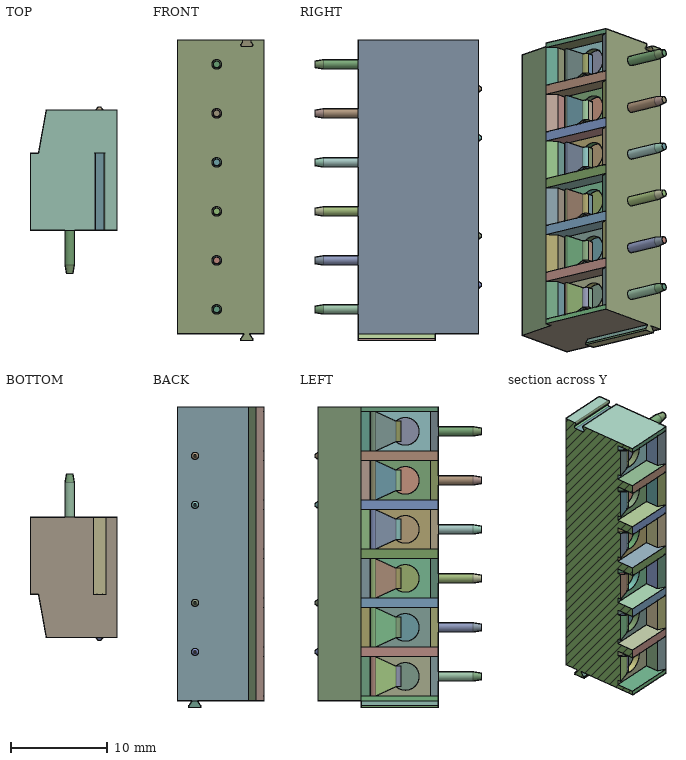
import cadquery as cq
import math

pole_count = 6
pitch = 5.08
width = 9.0
depth = 12.5
height = pole_count * pitch
front_depth = 8.0
shelf_width = 0.85
shoulder_back_x = 1.65

divider = 1.0
entry_height = pitch - divider
front_slope_length = 0.85
front_slope_drop = 0.47
back_slope_length = 0.95
back_slope_drop = 0.85
floor_x = 1.95

tongue_x = 1.62
bend_radius = 0.53
tongue_back_y = 7.0
tongue_end_y = 3.9
tongue_end_width = 2.12

hole_radius = 1.43
hole_y = 3.43
hole_bottom_x = 2.65

pin_x = 4.08
pin_radius = 0.5
pin_length = 4.5
pin_tip_length = 0.9
pin_tip_radius = 0.35

rail_x = 7.2
rail_height = 0.7
rail_land = 0.2
rail_width = 1.25
rail_neck = 0.6
groove_round = 0.14

stud_x = 7.17
stud_height = 0.3
stud_base_radius = 0.37
stud_top_radius = 0.12
stud_pitches = (1, 2, 4, 5)


def housing():
    outline = [
        (0, 0),
        (width, 0),
        (width, depth),
        (shoulder_back_x, depth),
        (shelf_width, front_depth),
        (0, front_depth),
    ]
    return cq.Workplane("XY").polyline(outline).close().extrude(height)


def wire_entry(middle_z):
    """Pocket with sloped front and back lips, plus the round hole in its floor."""
    back_wall_y = front_depth - back_slope_length
    outline = [
        (0, 0),
        (front_slope_drop, front_slope_length),
        (floor_x, front_slope_length),
        (floor_x, back_wall_y),
        (back_slope_drop, back_wall_y),
        (0, front_depth),
    ]
    pocket = (
        cq.Workplane("XY", origin=(0, 0, middle_z - entry_height / 2))
        .polyline(outline)
        .close()
        .extrude(entry_height)
    )
    hole = (
        cq.Workplane("YZ", origin=(0, hole_y, middle_z))
        .circle(hole_radius)
        .extrude(hole_bottom_x)
    )
    return pocket.union(hole)


def clamp_tongue(middle_z):
    """Plate with both ends rounded down to the floor, tapering towards the hole."""
    bend_drop = floor_x - tongue_x
    bend_run = math.sqrt(bend_radius**2 - (bend_radius - bend_drop) ** 2)
    taper_start_y = tongue_back_y - bend_run
    taper_end_y = tongue_end_y + bend_run
    profile = (
        cq.Workplane("XY", origin=(0, 0, middle_z - entry_height / 2))
        .moveTo(hole_bottom_x, tongue_back_y)
        .lineTo(floor_x, tongue_back_y)
        .radiusArc((tongue_x, taper_start_y), -bend_radius)
        .lineTo(tongue_x, taper_end_y)
        .radiusArc((floor_x, tongue_end_y), -bend_radius)
        .lineTo(hole_bottom_x, tongue_end_y)
        .close()
        .extrude(entry_height)
    )
    half_root = entry_height / 2
    half_end = tongue_end_width / 2
    plan = (
        cq.Workplane("YZ", origin=(0, 0, middle_z))
        .polyline([
            (tongue_back_y, -half_root),
            (taper_start_y, -half_root),
            (taper_end_y, -half_end),
            (tongue_end_y, -half_end),
            (tongue_end_y, half_end),
            (taper_end_y, half_end),
            (taper_start_y, half_root),
            (tongue_back_y, half_root),
        ])
        .close()
        .extrude(hole_bottom_x)
    )
    return profile.intersect(plan)


def pin(middle_z):
    shank_length = pin_length - pin_tip_length
    shank = (
        cq.Workplane("XZ", origin=(pin_x, 0, middle_z))
        .circle(pin_radius)
        .extrude(shank_length)
    )
    tip = cq.Solid.makeCone(
        pin_radius,
        pin_tip_radius,
        pin_tip_length,
        cq.Vector(pin_x, -shank_length, middle_z),
        cq.Vector(0, -1, 0),
    )
    return shank.union(cq.Workplane(tip))


def dovetail(top_z):
    """Dovetail bar hanging down from top_z, narrow at the top, ending in a straight land."""
    half_width = rail_width / 2
    half_neck = rail_neck / 2
    bottom_z = top_z - rail_height
    outline = [
        (-half_neck, top_z),
        (-half_width, bottom_z + rail_land),
        (-half_width, bottom_z),
        (half_width, bottom_z),
        (half_width, bottom_z + rail_land),
        (half_neck, top_z),
    ]
    return (
        cq.Workplane("XZ", origin=(rail_x, 0, 0))
        .polyline(outline)
        .close()
        .extrude(-front_depth)
    )


def groove_edges(body, edge_z):
    """The two long edges of the groove at height edge_z."""
    margin = 0.03
    strip = cq.selectors.BoxSelector(
        (rail_x - rail_width, 0, edge_z - margin),
        (rail_x + rail_width, front_depth, edge_z + margin),
    )
    return body.edges("|Y").edges(strip)


def stud(middle_z):
    cone = cq.Solid.makeCone(
        stud_base_radius,
        stud_top_radius,
        stud_height,
        cq.Vector(stud_x, depth, middle_z),
        cq.Vector(0, 1, 0),
    )
    return cq.Workplane(cone)


result = housing()
result = result.cut(dovetail(height))
for edge_z in (height, height - rail_height):
    result = groove_edges(result, edge_z).fillet(groove_round)
result = result.union(dovetail(0))

for pole in range(pole_count):
    pole_z = (pole + 0.5) * pitch
    result = result.cut(wire_entry(pole_z))
    result = result.union(clamp_tongue(pole_z))
    result = result.union(pin(pole_z))

for pitches in stud_pitches:
    result = result.union(stud(pitches * pitch))